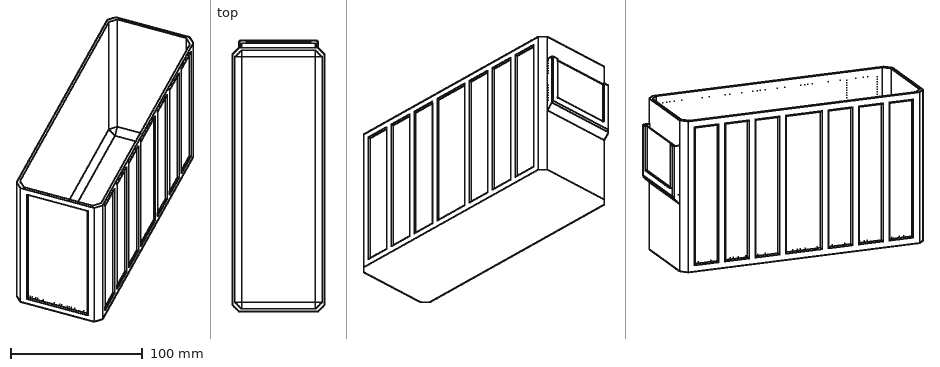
import cadquery as cq

WIDTH = 70.0
LENGTH = 200.0
HEIGHT = 120.0
WALL = 2.0
CORNER_CHAMFER = 5.0

PANEL_DEPTH = 1.0
PANEL_MARGIN = 5.0
SIDE_PANEL_WIDTHS = [20.0, 20.0, 20.0, 30.0, 20.0, 20.0, 20.0]

HOLDER_WIDTH = 60.0
HOLDER_DEPTH = 5.5
HOLDER_TOP = 100.0
HOLDER_FACE_BOTTOM = 59.0
HOLDER_EDGE_CHAMFER = 1.0
SLOT_WALL = 1.0
SLOT_FACE = 2.0
SLOT_FLOOR_Z = 60.0
SLOT_FLOOR_CHAMFER = 1.0
RECESS_WIDTH = 49.0
RECESS_DEPTH = 1.5
RECESS_SILL_Z = 65.0
RECESS_CORNER_CHAMFER = 0.5

PANEL_HEIGHT = HEIGHT - 2 * PANEL_MARGIN
FRONT_PANEL_WIDTH = WIDTH - 2 * (CORNER_CHAMFER + PANEL_MARGIN)
HOLDER_BACK_Y = LENGTH + HOLDER_DEPTH


def block(x_size, y_start, y_end, z_start, z_end):
    """Rectangular block centred on X."""
    return (
        cq.Workplane("XY")
        .box(x_size, y_end - y_start, z_end - z_start, centered=(True, False, False))
        .translate((0, y_start, z_start))
    )


def open_box():
    outer = block(WIDTH, 0, LENGTH, 0, HEIGHT).edges("|Z").chamfer(CORNER_CHAMFER)
    cavity = (
        block(WIDTH - 2 * WALL, WALL, LENGTH - WALL, WALL, HEIGHT)
        .edges("|Z or <Z")
        .chamfer(CORNER_CHAMFER)
    )
    return outer.cut(cavity)


def panel_recess(face_plane, width):
    """Cutter sunk into a wall, its sides closing in at 45 degrees; the plane's normal points inward."""
    return (
        cq.Workplane(face_plane)
        .rect(width, PANEL_HEIGHT)
        .workplane(offset=PANEL_DEPTH)
        .rect(width - 2 * PANEL_DEPTH, PANEL_HEIGHT - 2 * PANEL_DEPTH)
        .loft(combine=True)
    )


def cut_panels(body):
    mid_z = HEIGHT / 2
    front = cq.Plane(origin=(0, 0, mid_z), xDir=(1, 0, 0), normal=(0, 1, 0))
    body = body.cut(panel_recess(front, FRONT_PANEL_WIDTH))
    panel_start = CORNER_CHAMFER + PANEL_MARGIN
    for width in SIDE_PANEL_WIDTHS:
        mid_y = panel_start + width / 2
        for side in (-1, 1):
            wall = cq.Plane(origin=(side * WIDTH / 2, mid_y, mid_z), xDir=(0, 1, 0), normal=(-side, 0, 0))
            body = body.cut(panel_recess(wall, width))
        panel_start += width + PANEL_MARGIN
    return body


def label_holder():
    profile = [
        (LENGTH, HOLDER_TOP),
        (HOLDER_BACK_Y, HOLDER_TOP),
        (HOLDER_BACK_Y, HOLDER_FACE_BOTTOM),
        (LENGTH, HOLDER_FACE_BOTTOM - HOLDER_DEPTH),
    ]
    holder = cq.Workplane("YZ").polyline(profile).close().extrude(HOLDER_WIDTH / 2, both=True)
    holder = holder.faces(">Y").edges("|Z or <Z").chamfer(HOLDER_EDGE_CHAMFER)

    slot_outer_y = HOLDER_BACK_Y - SLOT_FACE
    slot = block(HOLDER_WIDTH - 2 * SLOT_WALL, LENGTH, slot_outer_y, SLOT_FLOOR_Z, HOLDER_TOP)
    slot = slot.faces("<Z").edges("|Y").chamfer(SLOT_FLOOR_CHAMFER)
    recess = block(RECESS_WIDTH, HOLDER_BACK_Y - RECESS_DEPTH, HOLDER_BACK_Y, RECESS_SILL_Z, HOLDER_TOP)
    recess = recess.faces("<Z").edges("|Y").chamfer(RECESS_CORNER_CHAMFER)
    return holder.cut(slot).cut(recess)


result = cut_panels(open_box()).union(label_holder())